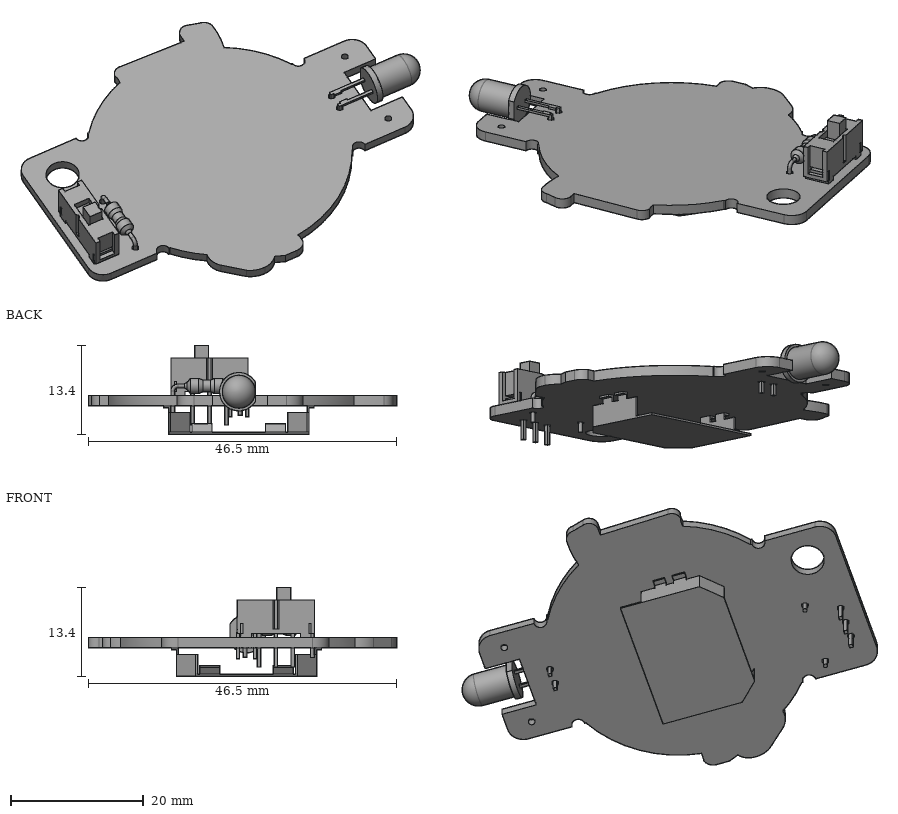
import cadquery as cq
import math


board_thickness = 1.55
board_radius = 20.0
board_min_y = -28.15
board_max_y = 29.2
head_half_width = 9.5
foot_half_width = 12.65
corner_radius = 2.5
relief_radius = 1.0
head_relief_y = 18.8
foot_relief_y = -16.7
notch_half_width = 4.2
notch_floor_y = 23.8
key_hole_diameter = 5.0
key_hole_x = -7.5
key_hole_y = -22.85
small_hole_diameter = 1.0
head_hole_x = 6.8
head_hole_y = 25.35

parts_center_x = 0.2

sheet = 0.3
clip_half_width = 10.6
clip_bottom_z = -4.3
clip_wall_top_z = -1.0
clip_base_max_y = 5.85
clip_wall_max_y = 2.55
clip_bend_y = -6.65
clip_min_y = -9.6
clip_throat_half_width = 7.35
clip_leg_spans = [(-1.4, 0.45), (-4.55, -2.55)]
clip_foot_length = 0.75
contact_offset_x = 5.55
contact_width = 3.05
contact_top_z = -2.7
contact_root_y = 0.0
contact_run = 0.95

lens_radius = 2.5
led_axis_z = 2.1
led_flange_radius = 5.8 / 2
led_flange_min_y = 25.55
led_flange_thickness = 0.95
led_tip_y = 34.15
led_lead_pitch = 2.55
led_lead_width = 0.5
led_lead_thickness = 0.4
led_lead_end_y = 19.95
led_lead_bottom_z = -1.7
led_stop_width = 0.25
led_stop_length = 1.25

resistor_x = 5.05
resistor_y = -20.05
resistor_axis_z = 3.0
resistor_lead_diameter = 0.61
resistor_lead_pitch = 10.15
resistor_lead_bottom_z = -1.45
resistor_bend_radius = 0.75
resistor_end_radius = 2.3 / 2
resistor_waist_radius = 1.8 / 2
resistor_half_length = 3.35
resistor_collar_radius = 0.55
resistor_collar_x = 2.9
resistor_bulge_outer_x = 2.4
resistor_bulge_inner_x = 1.2
resistor_waist_half_length = 0.55

switch_x = 4.6
switch_y = -25.05
switch_length = 11.65
switch_width = 4.0
switch_height = 5.7
switch_underside = 0.55
switch_foot_outer_x = 5.3
switch_foot_inner_x = 3.7
switch_slot_width = 2.5
end_pocket_depth = 0.7
end_pocket_floor = 1.2
through_slot_floor = 1.6
through_slot_height = 0.45
window_length = 4.5
window_depth = 1.05
knob_length = 2.1
knob_width = 2.05
knob_rise = 1.9
groove_width = 0.9
groove_root_width = 0.45
groove_depth = 0.3
groove_bottom = 1.3
notch_width = 0.3
notch_depth = 0.2
notch_top = 2.1
pin_size = 0.55
pin_pitch = 2.55
pin_bottom_z = -2.9

switch_seat_z = board_thickness
led_lead_xs = [parts_center_x + side * led_lead_pitch / 2 for side in (-1, 1)]
resistor_lead_xs = [resistor_x + side * resistor_lead_pitch / 2 for side in (-1, 1)]
switch_pin_xs = [switch_x + step * pin_pitch for step in (-1, 0, 1)]


def box(x_min, x_max, y_min, y_max, z_min, z_max):
    """Box given by its limits."""
    size = (x_max - x_min, y_max - y_min, z_max - z_min)
    return cq.Workplane("XY").box(*size, centered=False).translate((x_min, y_min, z_min))


def centered_box(x, y, length, width, z_min, z_max):
    """Box centred on (x, y), standing from z_min to z_max."""
    return box(x - length / 2, x + length / 2, y - width / 2, y + width / 2, z_min, z_max)


def left_lobe():
    """Irregular rim on the -X side: a rounded ear, then a nearly straight edge."""
    return (
        cq.Workplane("XY")
        .moveTo(-15.6, 0)
        .lineTo(-17.1, 10.3)
        .threePointArc((-19.45, 10.7), (-21.7, 10.8))
        .threePointArc((-22.6, 10.3), (-23.05, 9.3))
        .lineTo(-23.55, 7.6)
        .threePointArc((-23.3, 6.1), (-22.05, 5.6))
        .lineTo(-21.1, 5.6)
        .lineTo(-21.5, -5.25)
        .threePointArc((-21.05, -6.4), (-20.3, -6.8))
        .threePointArc((-19.45, -6.65), (-18.55, -6.8))
        .close()
        .extrude(board_thickness)
    )


def right_lobe():
    """Irregular rim on the +X side: two rounded ears that meet in a sharp nick."""
    return (
        cq.Workplane("XY")
        .moveTo(15.6, 0)
        .lineTo(19.7, 2.6)
        .lineTo(21.2, 2.7)
        .threePointArc((22.0, 2.1), (22.4, 1.0))
        .lineTo(22.4, -1.0)
        .lineTo(21.75, -2.5)
        .threePointArc((22.55, -3.5), (22.85, -4.8))
        .threePointArc((22.7, -6.2), (22.05, -7.5))
        .lineTo(19.3, -10.4)
        .threePointArc((18.0, -11.2), (16.5, -11.3))
        .close()
        .extrude(board_thickness)
    )


def end_tab(half_width, end_y):
    """Rectangular tab from the middle of the disc to end_y, with rounded outer corners."""
    outer_edge = ">Y" if end_y > 0 else "<Y"
    tab = box(-half_width, half_width, min(0, end_y), max(0, end_y), 0, board_thickness)
    return tab.edges("|Z").edges(outer_edge).fillet(corner_radius)


def drill(points, diameter):
    """Cylinders through the board, one at each point."""
    return cq.Workplane("XY").pushPoints(points).circle(diameter / 2).extrude(board_thickness)


def make_board():
    board = cq.Workplane("XY").circle(board_radius).extrude(board_thickness)
    board = board.union(left_lobe()).union(right_lobe())
    board = board.union(end_tab(head_half_width, board_max_y))
    board = board.union(end_tab(foot_half_width, board_min_y))

    reliefs = [(side * head_half_width, head_relief_y) for side in (-1, 1)]
    reliefs += [(side * foot_half_width, foot_relief_y) for side in (-1, 1)]
    board = board.cut(drill(reliefs, 2 * relief_radius))

    led_notch = box(-notch_half_width, notch_half_width, notch_floor_y, board_max_y, 0, board_thickness)
    board = board.cut(led_notch)

    board = board.cut(drill([(key_hole_x, key_hole_y)], key_hole_diameter))
    small_holes = [(side * head_hole_x, head_hole_y) for side in (-1, 1)]
    small_holes += [(x, led_lead_end_y) for x in led_lead_xs]
    small_holes += [(x, resistor_y) for x in resistor_lead_xs]
    small_holes += [(x, switch_y) for x in switch_pin_xs]
    return board.cut(drill(small_holes, small_hole_diameter))


def clip_side():
    """The +X half of the clip's sides: bent wall, legs and feet, about X = 0."""
    inner_x = clip_half_width - sheet
    side = (
        cq.Workplane("XY")
        .workplane(offset=clip_bottom_z)
        .moveTo(clip_half_width, clip_wall_max_y)
        .lineTo(clip_half_width, clip_bend_y)
        .lineTo(clip_throat_half_width + sheet, clip_min_y)
        .lineTo(clip_throat_half_width, clip_min_y)
        .lineTo(inner_x, clip_bend_y)
        .lineTo(inner_x, clip_wall_max_y)
        .close()
        .extrude(clip_wall_top_z - clip_bottom_z)
    )
    for y_min, y_max in clip_leg_spans:
        side = side.union(box(inner_x, clip_half_width, y_min, y_max, clip_wall_top_z, 0))
        foot_end_x = clip_half_width + clip_foot_length
        side = side.union(box(inner_x, foot_end_x, y_min, y_max, -sheet, 0))
    return side


def clip_contact(x):
    """Contact tongue that climbs steeply from the clip's base toward -Y."""
    return (
        cq.Workplane("YZ")
        .workplane(offset=x - contact_width / 2)
        .moveTo(contact_root_y, clip_bottom_z)
        .lineTo(contact_root_y, clip_bottom_z + sheet)
        .lineTo(contact_root_y - contact_run, contact_top_z)
        .lineTo(contact_root_y - contact_run, contact_top_z - sheet)
        .close()
        .extrude(contact_width)
    )


def make_clip():
    half_base = box(
        0, clip_half_width, clip_bend_y, clip_base_max_y, clip_bottom_z, clip_bottom_z + sheet
    )
    throat_base = (
        cq.Workplane("XY")
        .workplane(offset=clip_bottom_z)
        .moveTo(0, clip_bend_y)
        .lineTo(clip_half_width, clip_bend_y)
        .lineTo(clip_throat_half_width + sheet, clip_min_y)
        .lineTo(0, clip_min_y)
        .close()
        .extrude(sheet)
    )
    half = half_base.union(throat_base).union(clip_side()).union(clip_contact(contact_offset_x))
    return half.union(half.mirror("YZ")).translate((parts_center_x, 0, 0))


def led_lead(x, inward):
    """Flat lead that runs back from the lens and turns down through the board."""
    thick = led_lead_thickness
    top_z = led_axis_z + thick / 2
    stop_min_y = led_lead_end_y + led_lead_width / 2
    run = centered_box(
        x,
        (led_flange_min_y + led_lead_end_y) / 2,
        led_lead_width,
        led_flange_min_y - led_lead_end_y,
        top_z - thick,
        top_z,
    )
    drop = centered_box(x, led_lead_end_y, led_lead_width, led_lead_width, led_lead_bottom_z, top_z)
    stop_edge = x + inward * (led_lead_width / 2 + led_stop_width)
    stop = box(
        min(x, stop_edge),
        max(x, stop_edge),
        stop_min_y,
        stop_min_y + led_stop_length,
        top_z - thick,
        top_z,
    )
    return run.union(drop).union(stop)


def make_led():
    dome_center_y = led_tip_y - lens_radius
    dome_mid = lens_radius * math.sqrt(0.5)
    flange_max_y = led_flange_min_y + led_flange_thickness
    led = (
        cq.Workplane("XY")
        .moveTo(0, led_flange_min_y)
        .lineTo(led_flange_radius, led_flange_min_y)
        .lineTo(led_flange_radius, flange_max_y)
        .lineTo(lens_radius, flange_max_y)
        .lineTo(lens_radius, dome_center_y)
        .threePointArc((dome_mid, dome_center_y + dome_mid), (0, led_tip_y))
        .close()
        .revolve(360, (0, 0, 0), (0, 1, 0))
    )
    flange_flat = box(
        -led_flange_radius,
        -lens_radius,
        led_flange_min_y,
        flange_max_y,
        -led_flange_radius,
        led_flange_radius,
    )
    led = led.cut(flange_flat).translate((parts_center_x, 0, led_axis_z))
    for x in led_lead_xs:
        led = led.union(led_lead(x, math.copysign(1, parts_center_x - x)))
    return led


def make_resistor():
    """Waisted body on one long lead that bends down at both ends, built along X about the axis."""
    half_pitch = resistor_lead_pitch / 2
    bend = resistor_bend_radius
    bend_mid = bend * (1 - math.sqrt(0.5))
    drop = resistor_lead_bottom_z - resistor_axis_z
    lead_path = (
        cq.Workplane("XZ")
        .moveTo(-half_pitch, drop)
        .lineTo(-half_pitch, -bend)
        .threePointArc((-half_pitch + bend_mid, -bend_mid), (-half_pitch + bend, 0))
        .lineTo(half_pitch - bend, 0)
        .threePointArc((half_pitch - bend_mid, -bend_mid), (half_pitch, -bend))
        .lineTo(half_pitch, drop)
    )
    lead = (
        cq.Workplane("XY", origin=(-half_pitch, 0, drop))
        .circle(resistor_lead_diameter / 2)
        .sweep(lead_path)
    )
    half_profile = [
        (resistor_half_length, resistor_lead_diameter / 2),
        (resistor_collar_x, resistor_collar_radius),
        (resistor_bulge_outer_x, resistor_end_radius),
        (resistor_bulge_inner_x, resistor_end_radius),
        (resistor_waist_half_length, resistor_waist_radius),
    ]
    other_half = [(-x, radius) for x, radius in reversed(half_profile)]
    profile = [(resistor_half_length, 0)] + half_profile + other_half + [(-resistor_half_length, 0)]
    body = cq.Workplane("XY").polyline(profile).close().revolve(360, (0, 0, 0), (1, 0, 0))
    return lead.union(body).translate((resistor_x, resistor_y, resistor_axis_z))


def switch_feet():
    """Two blocks that carry the housing above the board."""
    feet = cq.Workplane("XY")
    foot_length = switch_foot_outer_x - switch_foot_inner_x
    foot_center_x = (switch_foot_outer_x + switch_foot_inner_x) / 2
    for side in (-1, 1):
        feet = feet.union(
            centered_box(side * foot_center_x, 0, foot_length, switch_width, 0, switch_underside)
        )
    return feet


def switch_side_cuts(side):
    """Middle groove and the two narrow notches over the feet, on one long side (-1 or 1)."""
    face_y = side * switch_width / 2
    root_y = face_y - side * groove_depth
    cuts = (
        cq.Workplane("XY")
        .workplane(offset=groove_bottom)
        .moveTo(-groove_width / 2, face_y)
        .lineTo(groove_width / 2, face_y)
        .lineTo(groove_root_width / 2, root_y)
        .lineTo(-groove_root_width / 2, root_y)
        .close()
        .extrude(switch_height - groove_bottom)
    )
    for end in (-1, 1):
        notch_x = end * (switch_foot_outer_x - notch_width / 2)
        cuts = cuts.union(
            centered_box(notch_x, face_y, notch_width, 2 * notch_depth, switch_underside, notch_top)
        )
    return cuts


def make_switch():
    """Housing with end pockets, knob and pins, built about the switch centre on its seat."""
    half_length = switch_length / 2
    switch = centered_box(0, 0, switch_length, switch_width, switch_underside, switch_height)
    switch = switch.union(switch_feet())
    for side in (-1, 1):
        switch = switch.cut(switch_side_cuts(side))
        pocket_x = side * (half_length - end_pocket_depth / 2)
        switch = switch.cut(
            centered_box(
                pocket_x, 0, end_pocket_depth, switch_slot_width, end_pocket_floor, switch_height
            )
        )

    through_slot_top = through_slot_floor + through_slot_height
    switch = switch.cut(
        centered_box(0, 0, switch_length, switch_slot_width, through_slot_floor, through_slot_top)
    )

    window_floor = switch_height - window_depth
    switch = switch.cut(
        centered_box(0, 0, window_length, switch_slot_width, window_floor, switch_height)
    )
    knob_x = (window_length - knob_length) / 2
    switch = switch.union(
        centered_box(knob_x, 0, knob_length, knob_width, window_floor, switch_height + knob_rise)
    )

    pin_bottom = pin_bottom_z - switch_seat_z
    for x in switch_pin_xs:
        switch = switch.union(
            centered_box(x - switch_x, 0, pin_size, pin_size, pin_bottom, through_slot_top)
        )
    return switch.translate((switch_x, switch_y, switch_seat_z))


board_with_clip = make_board().union(make_clip())
led = make_led()
resistor = make_resistor()
slide_switch = make_switch()

result = cq.Compound.makeCompound(
    [board_with_clip.val(), led.val(), resistor.val(), slide_switch.val()]
)